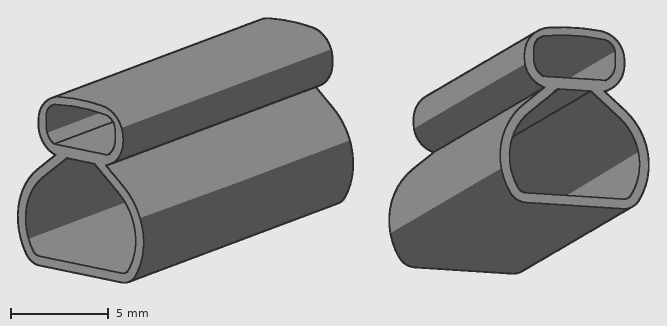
import cadquery as cq
import math

length = 18.0
half_width = 4.01
height = 9.29
wall = 0.5

side_radius = 3.6
side_center_z = 2.38
base_corner_radius = 1.0
shoulder_angle = 40.0
septum_bottom = 6.03
septum_top = 6.65

upper_half_width = 2.7
upper_corner_radius = 1.5
upper_corner_top_z = 7.72
upper_corner_bottom_z = 7.5
cavity_roof_z = 8.87
cavity_roof_radius = 11.16
cavity_corner_radius = 0.72


def polar(center, radius, degrees):
    """Point on a circle, with the angle measured from +X toward +Z."""
    angle = math.radians(degrees)
    return (center[0] + radius * math.cos(angle), center[1] + radius * math.sin(angle))


def arc(outline, center, radius, start, end):
    """Continue an outline along a circular arc from its current point."""
    middle = polar(center, radius, (start + end) / 2)
    return outline.threePointArc(middle, polar(center, radius, end))


def extrude_symmetric(half_outline):
    """Mirror a right-hand half outline about the Z axis and extrude it along Y."""
    return half_outline.mirrorY().extrude(length / 2, both=True)


def lower_body(offset, top_z):
    """Lower tube outline moved inward by offset and closed at top_z."""
    radius = side_radius - offset
    corner_radius = base_corner_radius - offset
    side_center = (half_width - side_radius, side_center_z)
    center_drop = side_center_z - base_corner_radius
    center_gap = side_radius - base_corner_radius
    corner_angle = -math.degrees(math.asin(center_drop / center_gap))
    corner_center = polar(side_center, center_gap, corner_angle)
    shoulder_normal = 90 - shoulder_angle
    shoulder = polar(side_center, radius, shoulder_normal)
    top_x = shoulder[0] - (top_z - shoulder[1]) / math.tan(math.radians(shoulder_angle))

    outline = cq.Workplane("XZ").moveTo(0, offset).lineTo(corner_center[0], offset)
    outline = arc(outline, corner_center, corner_radius, -90, corner_angle)
    outline = arc(outline, side_center, radius, corner_angle, shoulder_normal)
    return extrude_symmetric(outline.lineTo(top_x, top_z).lineTo(0, top_z))


def add_crown(outline, corner_center, corner_radius, roof_center_z, roof_radius):
    """Add an upper corner and the tangent roof arc, ending on the Z axis."""
    roof_center = (0, roof_center_z)
    tangent_angle = math.degrees(math.atan2(corner_center[1] - roof_center_z, corner_center[0]))
    outline = arc(outline, corner_center, corner_radius, 0, tangent_angle)
    return arc(outline, roof_center, roof_radius, tangent_angle, 90)


def upper_body():
    corner_x = upper_half_width - upper_corner_radius
    bottom_center = (corner_x, upper_corner_bottom_z)
    top_center = (corner_x, upper_corner_top_z)
    rise = height - upper_corner_top_z
    roof_radius = (corner_x**2 + rise**2 - upper_corner_radius**2) / (2 * (rise - upper_corner_radius))

    bottom_z = upper_corner_bottom_z - upper_corner_radius
    outline = cq.Workplane("XZ").moveTo(0, bottom_z).lineTo(corner_x, bottom_z)
    outline = arc(outline, bottom_center, upper_corner_radius, -90, 0)
    outline = outline.lineTo(upper_half_width, upper_corner_top_z)
    outline = add_crown(outline, top_center, upper_corner_radius, height - roof_radius, roof_radius)
    return extrude_symmetric(outline)


def upper_cavity():
    cavity_half_width = upper_half_width - wall
    lower_radius = upper_corner_radius - wall
    lower_center = (upper_half_width - upper_corner_radius, upper_corner_bottom_z)
    floor_angle = -math.degrees(math.asin((upper_corner_bottom_z - septum_top) / lower_radius))
    floor_end = polar(lower_center, lower_radius, floor_angle)
    corner_x = cavity_half_width - cavity_corner_radius
    roof_center_z = cavity_roof_z - cavity_roof_radius
    corner_z = roof_center_z + math.sqrt((cavity_roof_radius - cavity_corner_radius) ** 2 - corner_x**2)

    outline = cq.Workplane("XZ").moveTo(0, septum_top).lineTo(*floor_end)
    outline = arc(outline, lower_center, lower_radius, floor_angle, 0)
    outline = outline.lineTo(cavity_half_width, corner_z)
    outline = add_crown(
        outline, (corner_x, corner_z), cavity_corner_radius, roof_center_z, cavity_roof_radius
    )
    return extrude_symmetric(outline)


shoulder_overlap_z = (septum_bottom + septum_top) / 2
outer = upper_body().union(lower_body(0, shoulder_overlap_z))
result = outer.cut(lower_body(wall, septum_bottom)).cut(upper_cavity())